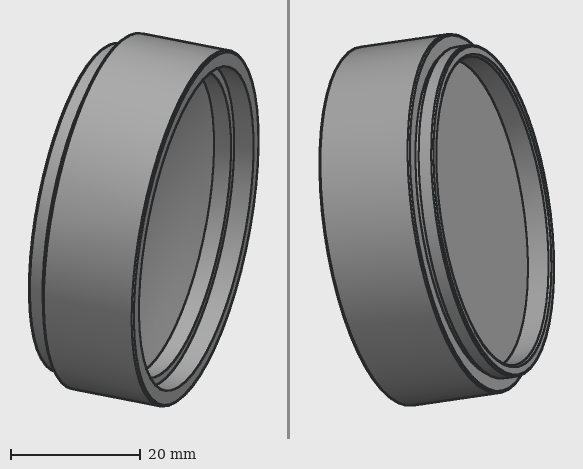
import cadquery as cq

total_length = 18.05
thread_length = 2.35
nose_length = 3.1
front_x = 0.0
back_x = front_x + total_length
thread_end_x = front_x + thread_length
shoulder_x = front_x + nose_length

body_radius = 27.95
body_chamfer = 0.3
thread_radius = 25.8
thread_chamfer = 0.3
relief_radius = 25.3
aperture_radius = 24.05
aperture_chamfer = 0.35

lens_radius = 25.4
lens_seat_x = front_x + 3.75
lens_edge_thickness = 8.3
lens_centre_thickness = 4.0

ring_inner_radius = aperture_radius
ring_length = 2.8


def revolve_about_x(profile):
    """Turn a closed (x, radius) profile around the X axis."""
    return profile.close().revolve(360, (0, 0, 0), (1, 0, 0))


def make_housing():
    outline = (
        cq.Workplane("XZ")
        .moveTo(front_x, aperture_radius + aperture_chamfer)
        .lineTo(front_x, thread_radius - thread_chamfer)
        .lineTo(front_x + thread_chamfer, thread_radius)
        .lineTo(thread_end_x, thread_radius)
        .lineTo(thread_end_x, relief_radius)
        .lineTo(shoulder_x, relief_radius)
        .lineTo(shoulder_x, body_radius - body_chamfer)
        .lineTo(shoulder_x + body_chamfer, body_radius)
        .lineTo(back_x - body_chamfer, body_radius)
        .lineTo(back_x, body_radius - body_chamfer)
        .lineTo(back_x, lens_radius)
        .lineTo(lens_seat_x, lens_radius)
        .lineTo(lens_seat_x, aperture_radius)
        .lineTo(front_x + aperture_chamfer, aperture_radius)
    )
    return revolve_about_x(outline)


def make_lens():
    edge_x = lens_seat_x + lens_edge_thickness
    centre_x = lens_seat_x + lens_centre_thickness
    sag = edge_x - centre_x
    curve_radius = (lens_radius**2 + sag**2) / (2 * sag)
    mid_radius = lens_radius / 2
    mid_x = centre_x + curve_radius - (curve_radius**2 - mid_radius**2) ** 0.5
    outline = (
        cq.Workplane("XZ")
        .moveTo(lens_seat_x, 0)
        .lineTo(lens_seat_x, lens_radius)
        .lineTo(edge_x, lens_radius)
        .threePointArc((mid_x, mid_radius), (centre_x, 0))
    )
    return revolve_about_x(outline)


def make_ring():
    start_x = lens_seat_x + lens_edge_thickness
    outline = (
        cq.Workplane("XZ")
        .moveTo(start_x, ring_inner_radius)
        .lineTo(start_x, lens_radius)
        .lineTo(start_x + ring_length, lens_radius)
        .lineTo(start_x + ring_length, ring_inner_radius)
    )
    return revolve_about_x(outline)


housing = make_housing()
lens = make_lens()
retaining_ring = make_ring()
result = cq.Compound.makeCompound([housing.val(), lens.val(), retaining_ring.val()])